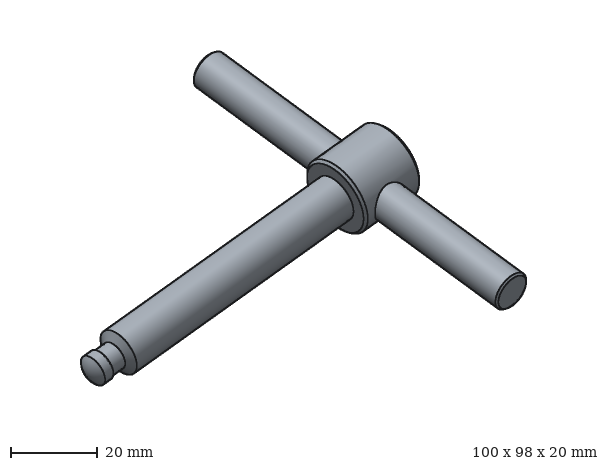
import cadquery as cq
import math

hub_diameter = 20
hub_length = 18
hub_chamfer = 0.7
hub_back = 10

bar_diameter = 10
bar_length = 100
bar_chamfer = 0.5

shaft_radius = 12 / 2
neck_radius = 7.2 / 2
tip_radius = 8 / 2
overall_length = 98
shaft_end = 89.5
shaft_chamfer_length = 1.4
tip_start = 93.7
dome_height = 1.6
dome_radius = (tip_radius**2 + dome_height**2) / (2 * dome_height)


def make_hub():
    hub = cq.Workplane("XZ", origin=(0, hub_back, 0)).circle(hub_diameter / 2).extrude(hub_length)
    return hub.edges().chamfer(hub_chamfer)


def make_bar():
    bar = cq.Workplane("YZ").circle(bar_diameter / 2).extrude(bar_length / 2, both=True)
    return bar.faces("<X or >X").edges().chamfer(bar_chamfer)


def make_shaft():
    """Revolve the stepped shaft with its necked, domed tip around the Y axis."""

    def y_at(distance):
        return hub_back - distance

    dome_start = overall_length - dome_height
    half_angle = math.asin(tip_radius / dome_radius) / 2
    dome_middle = (
        dome_radius * math.sin(half_angle),
        y_at(overall_length - dome_radius * (1 - math.cos(half_angle))),
    )
    profile = (
        cq.Workplane("XY")
        .moveTo(0, y_at(hub_length / 2))
        .lineTo(shaft_radius, y_at(hub_length / 2))
        .lineTo(shaft_radius, y_at(shaft_end - shaft_chamfer_length))
        .lineTo(neck_radius, y_at(shaft_end))
        .lineTo(neck_radius, y_at(tip_start))
        .lineTo(tip_radius, y_at(tip_start))
        .lineTo(tip_radius, y_at(dome_start))
        .threePointArc(dome_middle, (0, y_at(overall_length)))
        .close()
    )
    return profile.revolve(360, (0, 0, 0), (0, 1, 0))


result = make_hub().union(make_bar()).union(make_shaft())